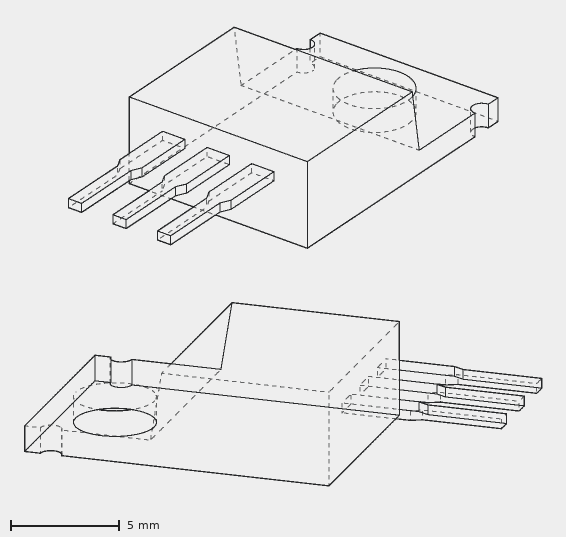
import cadquery as cq

width = 10.16
height = 4.57
tab_end_y = 14.73
lead_length = 7.62

tab_thickness = 1.25
hole_diameter = 3.81
hole_offset = 2.67
notch_radius = 0.508
notch_offset = 1.27

slope_bottom_offset = 5.89
slope_top_offset = 6.63

lead_count = 3
lead_pitch = 2.54
lead_thickness = 0.48
lead_bottom_z = 2.92
wide_width = 1.27
narrow_width = 0.76
wide_length = 3.30
narrow_length = 3.81

def make_tab():
    """Flat plate running the full length under the body, with a hole and two edge notches."""
    plate = cq.Workplane("XY").box(width, tab_end_y, tab_thickness, centered=(True, False, False))
    hole = (
        cq.Workplane("XY")
        .center(0, tab_end_y - hole_offset)
        .circle(hole_diameter / 2)
        .extrude(tab_thickness)
    )
    notches = (
        cq.Workplane("XY")
        .pushPoints([(side * width / 2, tab_end_y - notch_offset) for side in (-1, 1)])
        .circle(notch_radius)
        .extrude(tab_thickness)
    )
    return plate.cut(hole).cut(notches)

def make_body():
    """Block with a sloped face, drawn in the YZ plane and extruded across the width."""
    return (
        cq.Workplane("YZ")
        .moveTo(0, 0)
        .lineTo(tab_end_y - slope_bottom_offset, 0)
        .lineTo(tab_end_y - slope_top_offset, height)
        .lineTo(0, height)
        .close()
        .extrude(width / 2, both=True)
    )

def make_lead(center_x):
    """Flat lead that tapers from a wide root to a narrow tip."""
    half_wide = wide_width / 2
    half_narrow = narrow_width / 2
    taper_end_y = narrow_length - lead_length
    return (
        cq.Workplane("XY", origin=(center_x, 0, lead_bottom_z))
        .moveTo(-half_wide, 0)
        .lineTo(-half_wide, -wide_length)
        .lineTo(-half_narrow, taper_end_y)
        .lineTo(-half_narrow, -lead_length)
        .lineTo(half_narrow, -lead_length)
        .lineTo(half_narrow, taper_end_y)
        .lineTo(half_wide, -wide_length)
        .lineTo(half_wide, 0)
        .close()
        .extrude(lead_thickness)
    )

result = make_tab().union(make_body())
for index in range(lead_count):
    lead_x = (index - (lead_count - 1) / 2) * lead_pitch
    result = result.union(make_lead(lead_x))